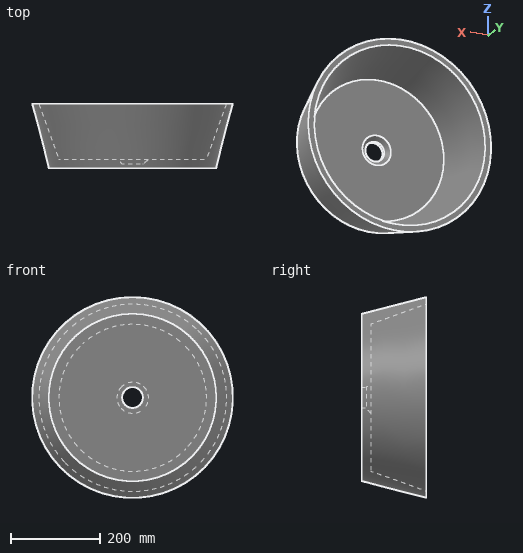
import cadquery as cq

RIM_DIAMETER = 450.0
BASE_DIAMETER = 375.0
HEIGHT = 145.0
RIM_WIDTH = 15.0
FLOOR_THICKNESS = 20.0
INNER_FLOOR_DIAMETER = 330.0
DRAIN_DIAMETER = 46.0
DRAIN_SEAT_DIAMETER = 70.0
DRAIN_SEAT_DEPTH = 10.0

BASE_Y = 0.0
FLOOR_Y = BASE_Y + FLOOR_THICKNESS
RIM_Y = BASE_Y + HEIGHT
DRAIN_SEAT_Y = FLOOR_Y - DRAIN_SEAT_DEPTH


def revolve_about_y(outline):
    """Revolve a closed outline of (radius, y) points a full turn about the Y axis."""
    return cq.Workplane("ZY").polyline(outline).close().revolve(360, (0, 0, 0), (0, 1, 0))


def make_body():
    """Solid tapered body, widening from the base to the rim."""
    return revolve_about_y([
        (0, BASE_Y),
        (BASE_DIAMETER / 2, BASE_Y),
        (RIM_DIAMETER / 2, RIM_Y),
        (0, RIM_Y),
    ])


def make_bowl_cavity():
    """Tapered cavity from the rim down to the flat inner floor."""
    inner_rim_radius = RIM_DIAMETER / 2 - RIM_WIDTH
    return revolve_about_y([
        (0, FLOOR_Y),
        (INNER_FLOOR_DIAMETER / 2, FLOOR_Y),
        (inner_rim_radius, RIM_Y),
        (0, RIM_Y),
    ])


def make_drain():
    """Straight drain hole that flares into a conical seat at the inner floor."""
    return revolve_about_y([
        (0, BASE_Y),
        (DRAIN_DIAMETER / 2, BASE_Y),
        (DRAIN_DIAMETER / 2, DRAIN_SEAT_Y),
        (DRAIN_SEAT_DIAMETER / 2, FLOOR_Y),
        (0, FLOOR_Y),
    ])


result = make_body().cut(make_bowl_cavity()).cut(make_drain())